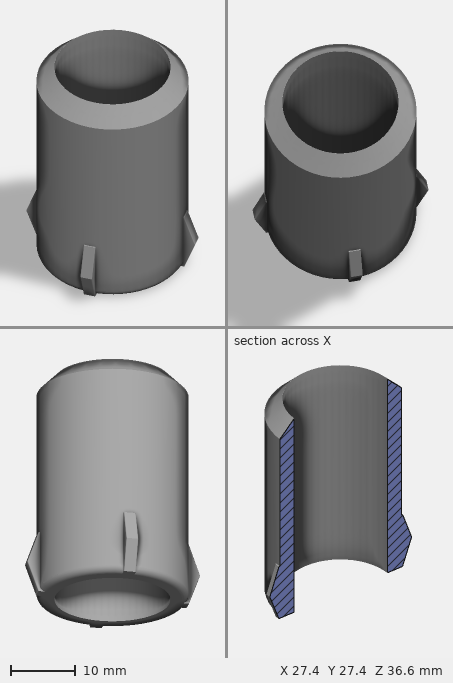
import cadquery as cq

height = 36.57
outer_diameter = 23.58
bore_diameter = 18.0
rim_diameter = 18.03
bottom_round = 1.0

fin_count = 4
fin_tip_radius = 13.72
fin_end_radius = 11.95
fin_height = 9.85
fin_tip_height = 4.85
fin_width = 1.9
fin_edge_round = 0.15
back_fin_angle = 90
back_fin_shift = 0.1

outer_radius = outer_diameter / 2
bore_radius = bore_diameter / 2
rim_radius = rim_diameter / 2
cone_height = outer_radius - rim_radius
fin_root_radius = (outer_radius + bore_radius) / 2


def make_sleeve():
    """Tube with a conical top end and a rounded bottom outer edge."""
    body = cq.Workplane("XY").circle(outer_radius).extrude(height)
    body = body.faces(">Z").edges().chamfer(cone_height)
    body = body.faces("<Z").edges().fillet(bottom_round)
    bore = cq.Workplane("XY").circle(bore_radius).extrude(height)
    return body.cut(bore)


def make_fin(angle, side_shift):
    """Pointed fin at an angle from +X, shifted sideways, with rounded edges along both slopes."""
    fin = (
        cq.Workplane("XZ")
        .moveTo(fin_root_radius, 0)
        .lineTo(fin_end_radius, 0)
        .lineTo(fin_tip_radius, fin_tip_height)
        .lineTo(fin_end_radius, fin_height)
        .lineTo(fin_root_radius, fin_height)
        .close()
        .extrude(fin_width / 2, both=True)
    )
    sloped_edges = fin.faces(">Y or <Y").edges("not(|X or |Z)")
    fin = sloped_edges.fillet(fin_edge_round)
    return fin.translate((0, side_shift, 0)).rotate((0, 0, 0), (0, 0, 1), angle)


result = make_sleeve()
for index in range(fin_count):
    fin_angle = index * 360 / fin_count
    fin_shift = back_fin_shift if fin_angle == back_fin_angle else 0
    result = result.union(make_fin(fin_angle, fin_shift))